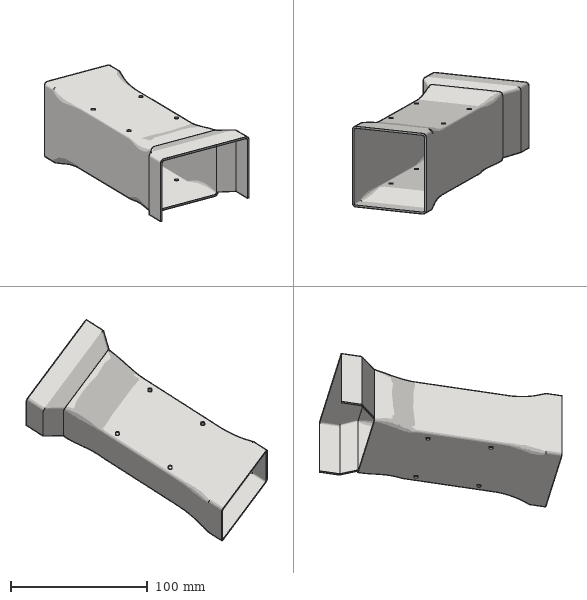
import cadquery as cq
import math

TOTAL_LENGTH = 167.0
COLLAR_LENGTH = 11.9
FRONT_BLEND_LENGTH = 30.0
MIDDLE_LENGTH = 66.0
HOOD_FLARE_LENGTH = 11.5
HOOD_RIM_LENGTH = 15.0

BLEND_START = COLLAR_LENGTH
MIDDLE_START = BLEND_START + FRONT_BLEND_LENGTH
MIDDLE_END = MIDDLE_START + MIDDLE_LENGTH
RIM_START = TOTAL_LENGTH - HOOD_RIM_LENGTH
DUCT_END = RIM_START - HOOD_FLARE_LENGTH

WALL = 1.5
OUTER_RADIUS = 3.0
MIDDLE_RADIUS = 2.5

COLLAR_WIDTH = 59.0
COLLAR_HEIGHT = 61.0
MIDDLE_WIDTH = 53.0
MIDDLE_HEIGHT = 51.0
DUCT_END_WIDTH = 59.0
DUCT_END_HEIGHT = 53.0
DUCT_END_RISE = 3.0

BLEND_STEPS = 8
EASE_MIDDLE = 0.45
CORNER_SWELL = 3.8
FRONT_SWELL_PEAK = 0.3
REAR_TOP_SWELL_PEAK = 0.6
REAR_BOTTOM_SWELL_PEAK = 0.4
REAR_BULGE = 0.5

HOOD_WIDTH = 78.0
OVERALL_HEIGHT = 62.0
HOOD_RIM_HEIGHT = 49.5
HOOD_RIM_TOP = OVERALL_HEIGHT - COLLAR_HEIGHT / 2
HOOD_RIM_BOTTOM = HOOD_RIM_TOP - HOOD_RIM_HEIGHT
HOOD_START_TOP = DUCT_END_RISE + DUCT_END_HEIGHT / 2
HOOD_START_BOTTOM = DUCT_END_RISE - DUCT_END_HEIGHT / 2 + OUTER_RADIUS

HOLE_DIAMETER = 3.0
HOLE_SPACING_X = 47.0
HOLE_SPACING_Y = 42.0
HOLE_CENTER_X = 75.0


def box_wire(x, half_width, bottom, top, bottom_radius, top_radius):
    """Rectangle across X with rounded corners."""
    return (
        cq.Workplane("YZ", origin=(x, 0, 0))
        .moveTo(-half_width + bottom_radius, bottom)
        .lineTo(half_width - bottom_radius, bottom)
        .tangentArcPoint((half_width, bottom + bottom_radius), relative=False)
        .lineTo(half_width, top - top_radius)
        .tangentArcPoint((half_width - top_radius, top), relative=False)
        .lineTo(-half_width + top_radius, top)
        .tangentArcPoint((-half_width, top - top_radius), relative=False)
        .lineTo(-half_width, bottom + bottom_radius)
        .tangentArcPoint((-half_width + bottom_radius, bottom), relative=False)
        .close()
        .val()
    )


def warp(t, middle):
    """Remap 0..1 onto itself so that `middle` lands on one half."""
    if middle < 0.5:
        return 1 - (1 - t) ** (math.log(0.5) / math.log(1 - middle))
    return t ** (math.log(0.5) / math.log(middle))


def ease(t):
    """S-shaped change from 0 to 1, flat at both ends."""
    u = warp(t, EASE_MIDDLE)
    return u * u * (3 - 2 * u)


def swell(t, peak):
    """Extra corner radius along a blend."""
    return CORNER_SWELL * math.sin(math.pi * warp(t, peak))


def mix(start, end, share):
    return start + (end - start) * share


def straight(start, end, width, height, radius, inset):
    """Straight box-shaped stretch on the collar axis, shrunk all round by `inset`."""
    half_width = width / 2 - inset
    half_height = height / 2 - inset
    corner = radius - inset
    wires = [box_wire(x, half_width, -half_height, half_height, corner, corner) for x in (start, end)]
    return cq.Workplane(cq.Solid.makeLoft(wires, True))


def front_blend(inset):
    """Smooth narrowing from the collar to the middle box."""
    wires = []
    for step in range(BLEND_STEPS + 1):
        t = step / BLEND_STEPS
        share = ease(t)
        half_width = mix(COLLAR_WIDTH, MIDDLE_WIDTH, share) / 2 - inset
        half_height = mix(COLLAR_HEIGHT, MIDDLE_HEIGHT, share) / 2 - inset
        corner = mix(OUTER_RADIUS, MIDDLE_RADIUS, t) + swell(t, FRONT_SWELL_PEAK) - inset
        x = BLEND_START + t * FRONT_BLEND_LENGTH
        wires.append(box_wire(x, half_width, -half_height, half_height, corner, corner))
    return cq.Workplane(cq.Solid.makeLoft(wires))


def rear_blend(inset):
    """Smooth widening and lifting from the middle box to the duct end."""
    wires = []
    for step in range(BLEND_STEPS + 1):
        t = step / BLEND_STEPS
        share = ease(t)
        bulge = REAR_BULGE * math.sin(math.pi * t)
        half_width = mix(MIDDLE_WIDTH, DUCT_END_WIDTH, share) / 2 + bulge - inset
        half_height = mix(MIDDLE_HEIGHT, DUCT_END_HEIGHT, share) / 2 - inset
        rise = DUCT_END_RISE * share
        radius = mix(MIDDLE_RADIUS, OUTER_RADIUS, t) - inset
        wires.append(
            box_wire(
                mix(MIDDLE_END, DUCT_END, t),
                half_width,
                rise - half_height - bulge,
                rise + half_height,
                radius + swell(t, REAR_BOTTOM_SWELL_PEAK),
                radius + swell(t, REAR_TOP_SWELL_PEAK),
            )
        )
    return cq.Workplane(cq.Solid.makeLoft(wires))


def duct_volume(inset):
    """The duct as a filled shape, shrunk all round by `inset`."""
    collar = straight(0, BLEND_START, COLLAR_WIDTH, COLLAR_HEIGHT, OUTER_RADIUS, inset)
    middle = straight(MIDDLE_START, MIDDLE_END, MIDDLE_WIDTH, MIDDLE_HEIGHT, MIDDLE_RADIUS, inset)
    return collar.union(front_blend(inset)).union(middle).union(rear_blend(inset))


def screw_holes():
    return (
        cq.Workplane("XY", origin=(HOLE_CENTER_X, 0, -COLLAR_HEIGHT / 2))
        .rect(HOLE_SPACING_X, HOLE_SPACING_Y, forConstruction=True)
        .vertices()
        .circle(HOLE_DIAMETER / 2)
        .extrude(COLLAR_HEIGHT)
    )


def make_duct():
    return duct_volume(0).cut(duct_volume(WALL)).cut(screw_holes())


def hood_wire(x, width, bottom, top, inset):
    """Hood cross-section: flat bottom, rounded top edges, `inset` on the sides and top."""
    half_width = width / 2 - inset
    radius = OUTER_RADIUS - inset
    return (
        cq.Workplane("YZ", origin=(x, 0, 0))
        .moveTo(-half_width, bottom)
        .lineTo(half_width, bottom)
        .lineTo(half_width, top - inset - radius)
        .tangentArcPoint((half_width - radius, top - inset), relative=False)
        .lineTo(-half_width + radius, top - inset)
        .tangentArcPoint((-half_width, top - inset - radius), relative=False)
        .close()
        .val()
    )


def hood_volume(inset):
    """The hood as a filled shape, shrunk by `inset` on the sides and top."""
    wires = [
        hood_wire(DUCT_END, DUCT_END_WIDTH, HOOD_START_BOTTOM, HOOD_START_TOP, inset),
        hood_wire(RIM_START, HOOD_WIDTH, HOOD_RIM_BOTTOM, HOOD_RIM_TOP, inset),
        hood_wire(TOTAL_LENGTH, HOOD_WIDTH, HOOD_RIM_BOTTOM, HOOD_RIM_TOP, inset),
    ]
    return cq.Workplane(cq.Solid.makeLoft(wires, True))


def make_hood():
    return hood_volume(0).cut(hood_volume(WALL))


duct = make_duct()
hood = make_hood()

result = cq.Compound.makeCompound([duct.solids().val(), hood.solids().val()])